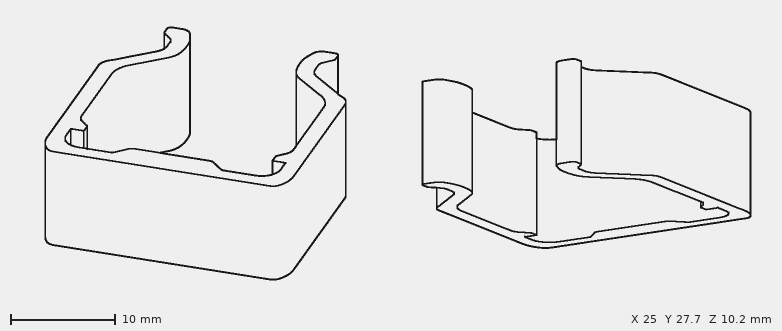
import cadquery as cq
import math

width = 25.0
length = 27.7
height = 10.2

outer_x = width / 2
inner_x = 10.75
groove_x = 10.89
ledge_x = 9.55

base_thickness = 1.6
pad_height = 3.05
pad_half_width = 4.1
pad_foot_x = pad_half_width + pad_height - base_thickness
outer_side_radius = 3.6
outer_foot_radius = 1.1
groove_radius = 1.9
pad_radius = 0.7
pad_foot_radius = 0.42

ledge_bottom = 4.95
ledge_top = 5.98
ledge_root_y = ledge_top + inner_x - ledge_x
ledge_root_radius = 1.52
ledge_tip_radius = 0.17

arm_slope = 0.87
arm_inner_root_y = 18.15
arm_inner_radius = 2.9
arm_thickness_y = 2.15
shoulder_radius = 1.65

jaw_inner_x = 5.7
jaw_bend_x = 6.07
jaw_back_x = 7.5
jaw_tip_x = 8.67
jaw_nose_x = 6.48
jaw_flat_top = 25.57
jaw_flat_bottom = 23.75
hook_bottom = 26.4
hook_root_y = hook_bottom - (jaw_tip_x - jaw_back_x)
nose_radius = 1.1
nose_side_radius = 3.88
jaw_side_radius = 5.55
jaw_bend_radius = 2.5
jaw_back_radius = 1.77
hook_root_radius = 0.83
hook_tip_radius = 0.2
tip_radius = 0.42

foot_x = 11.5
foot_side_y = 1.45

shoulder_y = 18.95
step_x = 11.4
step_y = 19.7
step_radius = 0.28
step_end_x = 10.78
step_end_radius = 0.55


def arm_inner_y(x):
    """Y of the sloping inner arm face at distance x from the mirror plane."""
    return arm_inner_root_y + arm_slope * (inner_x - x)


def arm_outer_y(x):
    """Y of the sloping outer arm face at distance x from the mirror plane."""
    return arm_inner_y(x) + arm_thickness_y


def rounded_outline(corners):
    """Closed wire through (x, y, radius) corners, rounded by tangent arcs."""
    points = [cq.Vector(x, y) for x, y, _ in corners]
    edges = []
    previous_end = None
    first_start = None
    for i, (_, _, radius) in enumerate(corners):
        corner = points[i]
        back = (points[i - 1] - corner).normalized()
        ahead = (points[(i + 1) % len(points)] - corner).normalized()
        half_angle = back.getAngle(ahead) / 2
        tangent_length = radius / math.tan(half_angle) if radius else 0
        start = corner + back * tangent_length
        end = corner + ahead * tangent_length
        if previous_end is not None:
            edges.append(cq.Edge.makeLine(previous_end, start))
        else:
            first_start = start
        if radius:
            middle_distance = radius / math.sin(half_angle) - radius
            middle = corner + (back + ahead).normalized() * middle_distance
            edges.append(cq.Edge.makeThreePointArc(start, middle, end))
        previous_end = end
    edges.append(cq.Edge.makeLine(previous_end, first_start))
    return cq.Wire.assembleEdges(edges)


outer_corners = [
    (foot_x, 0, outer_foot_radius),
    (outer_x, foot_side_y, outer_side_radius),
    (outer_x, shoulder_y, shoulder_radius),
    (step_x, step_y, step_radius),
    (step_end_x, arm_outer_y(step_end_x), step_end_radius),
]

jaw_corners = [
    (jaw_back_x, arm_outer_y(jaw_back_x), jaw_back_radius),
    (jaw_back_x, hook_root_y, hook_root_radius),
    (jaw_tip_x, hook_bottom, hook_tip_radius),
    (jaw_tip_x, length, tip_radius),
    (jaw_nose_x, length, nose_radius),
    (jaw_inner_x, jaw_flat_top, nose_side_radius),
    (jaw_inner_x, jaw_flat_bottom, jaw_side_radius),
    (jaw_bend_x, arm_inner_y(jaw_bend_x), jaw_bend_radius),
]

inner_corners = [
    (inner_x, arm_inner_root_y, arm_inner_radius),
    (inner_x, ledge_root_y, ledge_root_radius),
    (ledge_x, ledge_top, ledge_tip_radius),
    (ledge_x, ledge_bottom, 0),
    (groove_x, ledge_bottom, 0),
    (groove_x, base_thickness, groove_radius),
    (pad_foot_x, base_thickness, pad_foot_radius),
    (pad_half_width, pad_height, pad_radius),
]

right_half = outer_corners + jaw_corners + inner_corners
left_half = [(-x, y, radius) for x, y, radius in reversed(right_half)]
profile = rounded_outline(right_half + left_half)

clip = cq.Solid.extrudeLinear(profile, [], cq.Vector(0, 0, height))
result = cq.Workplane("XY").newObject([clip])